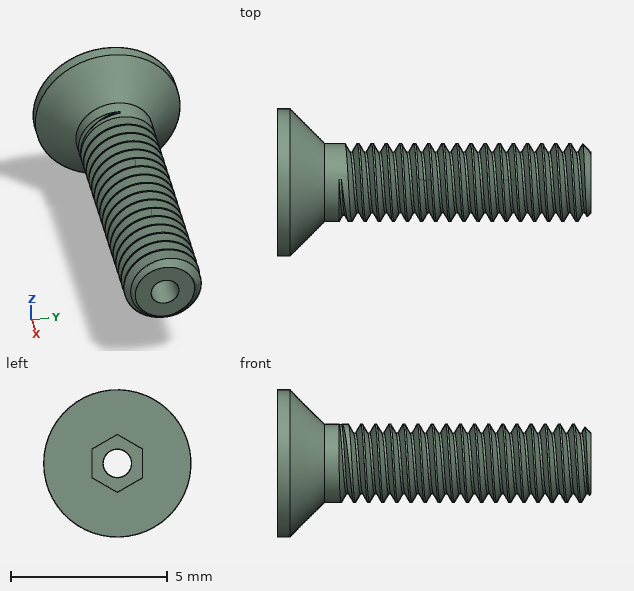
import cadquery as cq
import math

screw_length = 10.0
head_diameter = 4.7
thread_diameter = 2.5
rim_thickness = 0.4
tip_chamfer = 0.285

socket_across_flats = 1.6
socket_depth = 0.6
bore_diameter = 0.9

pitch = 0.45
thread_datum = 2.01
flank_angle = math.radians(30)
crest_width = pitch / 8
thread_depth = 17 / 24 * pitch * math.cos(flank_angle)
lead_in_turns = 0.5
first_turn = -0.012

thread_radius = thread_diameter / 2
cone_length = (head_diameter - thread_diameter) / 2
head_length = rim_thickness + cone_length

segment_turns = 6
points_per_turn = 24
segment_steps = segment_turns * points_per_turn
run_out_turns = 1
groove_turns = (screw_length - thread_datum) / pitch + run_out_turns
segment_count = math.ceil(groove_turns / segment_turns)

cutter_overshoot = 0.02
cutter_height = thread_depth + cutter_overshoot
cutter_root_half_width = (pitch - crest_width) / 2 - thread_depth * math.tan(flank_angle)
cutter_outer_half_width = cutter_root_half_width + cutter_height * math.tan(flank_angle)

cutter_corners = [
    (-cutter_root_half_width, 0),
    (cutter_root_half_width, 0),
    (cutter_outer_half_width, cutter_height),
    (-cutter_outer_half_width, cutter_height),
]


def screw_blank():
    """Countersunk head, shank and chamfered tip as one turned body."""
    return (
        cq.Workplane("XY")
        .lineTo(0, head_diameter / 2)
        .lineTo(rim_thickness, head_diameter / 2)
        .lineTo(head_length, thread_radius)
        .lineTo(screw_length - tip_chamfer, thread_radius)
        .lineTo(screw_length, thread_radius - tip_chamfer)
        .lineTo(screw_length, 0)
        .close()
        .revolve(360, (0, 0, 0), (1, 0, 0))
    )


def corner_point(turn, axial_offset, radial_offset):
    """Position of one cutter corner at a given turn, sinking to full depth over the lead-in."""
    angle = 2 * math.pi * turn
    lead_in = min((turn - first_turn) / lead_in_turns, 1)
    depth = thread_depth * math.sin(lead_in * math.pi / 2)
    radius = thread_radius - depth + radial_offset
    return cq.Vector(
        thread_datum + pitch * turn + axial_offset,
        -radius * math.sin(angle),
        radius * math.cos(angle),
    )


def cutter_segment_edges(start_turn):
    """Helical corner curves of the cutter over one segment."""
    turns = [start_turn + step / points_per_turn for step in range(segment_steps + 1)]
    return [cq.Edge.makeSpline([corner_point(turn, *corner) for turn in turns]) for corner in cutter_corners]


def cutter_cap(turn):
    """Flat end face of the cutter."""
    corners = [corner_point(turn, *corner) for corner in cutter_corners]
    return cq.Face.makeFromWires(cq.Wire.makePolygon(corners, close=True))


def thread_cutter():
    """Solid that fills the right-handed thread groove, bounded by ruled helical faces."""
    last_turn = first_turn + segment_count * segment_turns
    faces = [cutter_cap(first_turn), cutter_cap(last_turn)]
    for segment in range(segment_count):
        edges = cutter_segment_edges(first_turn + segment * segment_turns)
        for edge, neighbour in zip(edges, edges[1:] + edges[:1]):
            faces.append(cq.Face.makeRuledSurface(edge, neighbour))
    shell = cq.Shell.makeShell(faces)
    return cq.Workplane(cq.Solid.makeSolid(shell).fix())


def drive_socket():
    """Hexagonal socket with two corners on the Z axis."""
    across_corners = socket_across_flats / math.cos(math.pi / 6)
    return (
        cq.Workplane("YZ")
        .transformed(rotate=(0, 0, 90))
        .polygon(6, across_corners)
        .extrude(socket_depth)
    )


def through_bore():
    """Round bore along the whole axis."""
    return cq.Workplane("YZ").circle(bore_diameter / 2).extrude(screw_length)


result = screw_blank().cut(thread_cutter()).cut(drive_socket()).cut(through_bore())